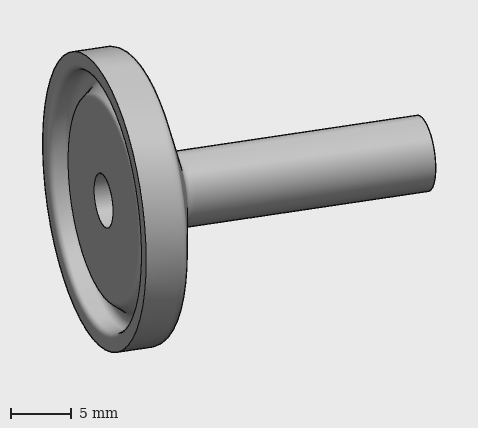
import cadquery as cq
import math

length = 28.7
flange_radius = 25.0 / 2
tube_radius = 6.35 / 2
bore_radius = 4.55 / 2

rim_height = 3.05
back_angle = math.radians(20)
blend_radius = 0.8

groove_outer_radius = 21.93 / 2
lip_radius = 0.5
disc_recess = 0.8
disc_radius = 8.47
disc_edge_radius = 0.55
groove_wall_angle = math.radians(53)
groove_wall_width = 0.65


def arc_point(center, radius, angle):
    """Point on an arc, given as (radial, axial), with the angle from the radial direction."""
    return (center[0] + radius * math.cos(angle), center[1] + radius * math.sin(angle))


quarter_turn = math.pi / 2
cone_normal = quarter_turn - back_angle
shoulder_center = (flange_radius - blend_radius, rim_height)
cone_start = arc_point(shoulder_center, blend_radius, cone_normal)

neck_center_radius = tube_radius + blend_radius
cone_end_radius = neck_center_radius - blend_radius * math.cos(cone_normal)
cone_end_height = cone_start[1] + (cone_start[0] - cone_end_radius) * math.tan(back_angle)
neck_center = (neck_center_radius, cone_end_height + blend_radius * math.sin(cone_normal))

disc_edge_center = (disc_radius, disc_recess + disc_edge_radius)
wall_normal = groove_wall_angle - quarter_turn
wall_top = arc_point(disc_edge_center, disc_edge_radius, wall_normal)
wall_bottom = (
    wall_top[0] + groove_wall_width,
    wall_top[1] + groove_wall_width * math.tan(groove_wall_angle),
)
floor_radius = (groove_outer_radius - wall_bottom[0]) / (1 + math.sin(groove_wall_angle))
floor_center = (
    groove_outer_radius - floor_radius,
    wall_bottom[1] - floor_radius * math.cos(groove_wall_angle),
)
lip_center = (groove_outer_radius + lip_radius, lip_radius)

profile = (
    cq.Workplane("XY")
    .moveTo(bore_radius, disc_recess)
    .lineTo(disc_radius, disc_recess)
    .threePointArc(
        arc_point(disc_edge_center, disc_edge_radius, (wall_normal - quarter_turn) / 2), wall_top
    )
    .lineTo(*wall_bottom)
    .threePointArc(
        arc_point(floor_center, floor_radius, (wall_normal + math.pi) / 2),
        (groove_outer_radius, floor_center[1]),
    )
    .lineTo(groove_outer_radius, lip_radius)
    .threePointArc(
        arc_point(lip_center, lip_radius, math.radians(225)), (lip_center[0], 0)
    )
    .lineTo(flange_radius, 0)
    .lineTo(flange_radius, rim_height)
    .threePointArc(arc_point(shoulder_center, blend_radius, cone_normal / 2), cone_start)
    .lineTo(cone_end_radius, cone_end_height)
    .threePointArc(
        arc_point(neck_center, blend_radius, math.pi + cone_normal / 2),
        (tube_radius, neck_center[1]),
    )
    .lineTo(tube_radius, length)
    .lineTo(bore_radius, length)
    .close()
)

result = profile.revolve(360, (0, 0, 0), (0, 1, 0))